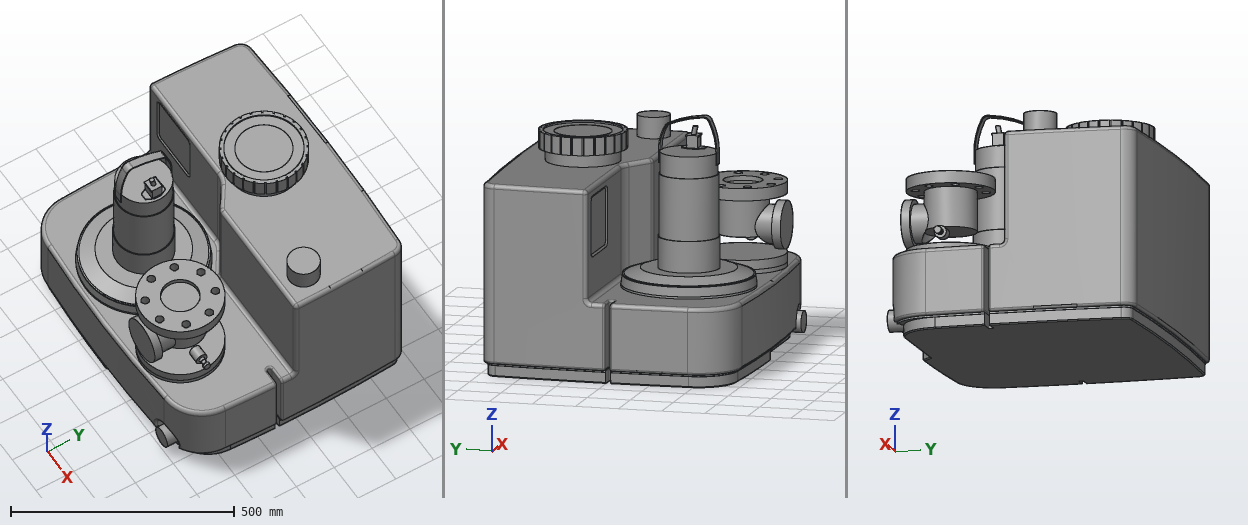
import cadquery as cq
import math


BASE_HEIGHT = 30.0
DECK_Z = 184.0
TOP_Z = 441
EDGE_RADIUS = 10.0
RIM_RADIUS = 5.5
BACK_Y = 299.5
BACK_CORNER_X = 311.0
BACK_CORNER_Y = 260.0
BACK_CORNER_RADIUS = 31.0
FRONT_Y = -299.0
FRONT_CORNER_X = 246.0
FRONT_CORNER_Y = -190.5
FRONT_CORNER_RADIUS = 99.5
SIDE_X = 350
SIDE_WIDEST_Y = 21

LEFT_WALL_Y = 41.0
RIGHT_WALL_Y = -8.5
WALL_BEND_LEFT_X = -42
WALL_BEND_RIGHT_X = 31.0
INNER_BEND_RADIUS = 56
OUTER_BEND_RADIUS = 19.5

LEDGE_Z = 26.0
LEDGE_INSET = 8.5
PLINTH_INSET = 10.0
PLINTH_CHAMFER = 3.0
SETBACK_START_X = -1.0
SETBACK_Y = -266
SETBACK_CORNER_X = 241.0
SETBACK_CORNER_RADIUS = 95.0

SLOT_WIDTH = 11.0
SLOT_LIP_RADIUS = 5.0
LEFT_SLOT_Y = -5.0
LEFT_SLOT_END_X = -310.0
RIGHT_SLOT_Y = -50.0
RIGHT_SLOT_END_X = 307.0
SLOTS = ((LEFT_SLOT_Y, LEFT_SLOT_END_X), (RIGHT_SLOT_Y, RIGHT_SLOT_END_X))

ROOT = 7

COVER_SEAT_Z = 189
FLANGE_SEAT_Z = 194.0

PANEL_SIZE = 140
PANEL_X = -245
PANEL_Z = 350
PANEL_CORNER_RADIUS = 14
PANEL_BORDER = 5.0
PANEL_DEPTH = 3.5

DRAIN_X = 249.0
DRAIN_Z = 40.5
DRAIN_DIAMETER = 50.0
DRAIN_END_Y = -299.0
DRAIN_ARCH_DIAMETER = 75.0
DRAIN_ARCH_LIP_RADIUS = 5.5
VENT_X = 279.0
VENT_Y = 57.5
VENT_DIAMETER = 75.0
VENT_TOP_Z = 490

CAP_X = -20.0
CAP_Y = 140
NECK_DIAMETER = 170.0
CAP_DIAMETER = 200.0
CAP_BOTTOM_Z = 470.5
CAP_TOP_Z = 511
CAP_DISH_DIAMETER = 180.0
CAP_CENTRE_DIAMETER = 130.0
CAP_DISH_DEPTH = 3.5
CAP_CENTRE_DEPTH = 4.0
CAP_GROOVE_COUNT = 24
CAP_GROOVE_SIZE = 3.5

PUMP_X = -100.0
PUMP_Y = -127.5
COVER_DIAMETER = 306.0
COVER_WALL_TOP_DIAMETER = 299.0
COVER_WALL_TOP_Z = 210
COVER_GROOVE_DIAMETER = 291.0
COVER_GROOVE_TOP_Z = 213.0
COVER_FLAT_DIAMETER = 218.5
COVER_TOP_Z = 226.0
MOTOR_FOOT_DIAMETER = 140
MOTOR_FOOT_TOP_Z = 298.0
MOTOR_DIAMETER = 135.0
MOTOR_SHOULDER_Z = TOP_Z
MOTOR_HEAD_DIAMETER = 130.0
MOTOR_TOP_Z = 491.0

HANDLE_WIDTH = 21
HANDLE_THICKNESS = 3.0
HANDLE_END_Z = 465.0
HANDLE_BEND_Z = 491.0
HANDLE_BACK_FLANK = (62.0, 524.0)
HANDLE_BACK_SHOULDER = (50.5, 550.0)
HANDLE_GRIP_MIDDLE = (11.0, 564.0)
HANDLE_PEAK = (-34.0, 572.0)
HANDLE_FRONT_BEND = (-45.0, 569.0)
HANDLE_FRONT_SHOULDER = (-50.5, 561.5)
HANDLE_FRONT_FLANK = (-62.0, 528.0)

GLAND_X = -59.5
GLAND_PLATE_WIDTH = 35
GLAND_PLATE_LENGTH = 53.0
GLAND_PLATE_END = 17.5
GLAND_PLATE_HEIGHT = 2.0
GLAND_BODY_WIDTH = 31.0
GLAND_BODY_LENGTH = 25.0
GLAND_RIM_LENGTH = 29.5
GLAND_RIM_HEIGHT = 3.5
GLAND_BODY_TOP_Z = 521.5
CABLE_DIAMETER = 11.0
CABLE_TOP_Z = 540.5
CABLE_LEAN = 4.0

OUTLET_X = 147
OUTLET_Y = -185.5
FLANGE_DIAMETER = 200.0
LOWER_FLANGE_TOP_Z = 215.5
UPPER_FLANGE_BOTTOM_Z = 351.5
UPPER_FLANGE_TOP_Z = 379.5
BORE_DIAMETER = 89.0
BORE_DEPTH = 10.5
BOLT_COUNT = 8
BOLT_HOLE_DIAMETER = 19.0
BOLT_CIRCLE_DIAMETER = 159.5
TUBE_DIAMETER = 120.0
TUBE_BOTTOM_Z = 260.0
CONE_BASE_DIAMETER = 140
BRANCH_DIAMETER = 89.0
BRANCH_Z = 282.0
BRANCH_CAP_DIAMETER = 110.0
BRANCH_CAP_START_Y = -267.0
BRANCH_END_Y = -287

PLUG_Z = 242.0
PLUG_TIP_X = 203
PLUG_DIAMETER = 28
PLUG_BODY_END_X = 237.0
PLUG_COLLAR_DIAMETER = 14
PLUG_COLLAR_END_X = 244.0
PLUG_STEM_DIAMETER = 11.0
PLUG_HEAD_DIAMETER = 17.0
PLUG_HEAD_X = 255.0
PLUG_END_X = 262.0


def disc(x, y, diameter, bottom, top):
    """Upright cylinder between two heights."""
    return cq.Workplane("XY", origin=(x, y, bottom)).circle(diameter / 2).extrude(top - bottom)


def rod_along_y(x, z, diameter, start_y, end_y):
    """Cylinder from start_y toward -Y, as far as end_y."""
    return cq.Workplane("XZ", origin=(x, start_y, z)).circle(diameter / 2).extrude(start_y - end_y)


def tank_outline(bottom):
    """Tank footprint with bowed front, back and sides and rounded corners."""
    slope = math.sqrt(0.5)
    back_tip = BACK_CORNER_Y + BACK_CORNER_RADIUS
    back_side = BACK_CORNER_X + BACK_CORNER_RADIUS
    front_tip = FRONT_CORNER_Y - FRONT_CORNER_RADIUS
    front_side = FRONT_CORNER_X + FRONT_CORNER_RADIUS
    back_mid_x = BACK_CORNER_X + slope * BACK_CORNER_RADIUS
    back_mid_y = BACK_CORNER_Y + slope * BACK_CORNER_RADIUS
    front_mid_x = FRONT_CORNER_X + slope * FRONT_CORNER_RADIUS
    front_mid_y = FRONT_CORNER_Y - slope * FRONT_CORNER_RADIUS
    return (
        cq.Workplane("XY", origin=(0, 0, bottom))
        .moveTo(-BACK_CORNER_X, back_tip)
        .threePointArc((0, BACK_Y), (BACK_CORNER_X, back_tip))
        .threePointArc((back_mid_x, back_mid_y), (back_side, BACK_CORNER_Y))
        .threePointArc((SIDE_X, SIDE_WIDEST_Y), (front_side, FRONT_CORNER_Y))
        .threePointArc((front_mid_x, front_mid_y), (FRONT_CORNER_X, front_tip))
        .threePointArc((0, FRONT_Y), (-FRONT_CORNER_X, front_tip))
        .threePointArc((-front_mid_x, front_mid_y), (-front_side, FRONT_CORNER_Y))
        .threePointArc((-SIDE_X, SIDE_WIDEST_Y), (-back_side, BACK_CORNER_Y))
        .threePointArc((-back_mid_x, back_mid_y), (-BACK_CORNER_X, back_tip))
        .close()
    )


def rear_block():
    """Tall rear part of the tank, ending at the cranked step wall."""
    reach = 2 * SIDE_X
    region = (
        cq.Workplane("XY", origin=(0, 0, BASE_HEIGHT))
        .polyline([
            (-reach, LEFT_WALL_Y),
            (WALL_BEND_LEFT_X, LEFT_WALL_Y),
            (WALL_BEND_RIGHT_X, RIGHT_WALL_Y),
            (reach, RIGHT_WALL_Y),
            (reach, reach),
            (-reach, reach),
        ])
        .close()
        .extrude(TOP_Z - BASE_HEIGHT)
    )
    bend_left = cq.selectors.NearestToPointSelector((WALL_BEND_LEFT_X, LEFT_WALL_Y, TOP_Z / 2))
    bend_right = cq.selectors.NearestToPointSelector((WALL_BEND_RIGHT_X, RIGHT_WALL_Y, TOP_Z / 2))
    region = region.edges("|Z").edges(bend_left).fillet(INNER_BEND_RADIUS)
    region = region.edges("|Z").edges(bend_right).fillet(OUTER_BEND_RADIUS)
    return tank_outline(BASE_HEIGHT).extrude(TOP_Z - BASE_HEIGHT).intersect(region)


def tank_shell():
    """Deck and rear block with rounded edges."""
    lower = tank_outline(BASE_HEIGHT).extrude(DECK_Z - BASE_HEIGHT)
    shell = lower.union(rear_block())
    shell = shell.faces("<Z").edges().fillet(RIM_RADIUS)
    reach = 2 * SIDE_X
    above = cq.selectors.BoxSelector((-reach, -reach, DECK_Z - EDGE_RADIUS), (reach, reach, 2 * TOP_Z))
    return shell.edges(above).fillet(EDGE_RADIUS)


def setback_outline():
    """Plan of the space under the rim at the front right."""
    front = FRONT_Y + PLINTH_INSET
    corner_x = SETBACK_CORNER_X + SETBACK_CORNER_RADIUS
    corner_y = SETBACK_Y + SETBACK_CORNER_RADIUS
    slope = math.sqrt(0.5) * SETBACK_CORNER_RADIUS
    return (
        cq.Workplane("XY")
        .moveTo(SETBACK_START_X, FRONT_Y)
        .lineTo(SETBACK_START_X, front)
        .lineTo(SETBACK_START_X + SETBACK_Y - front, SETBACK_Y)
        .lineTo(SETBACK_CORNER_X, SETBACK_Y)
        .threePointArc((SETBACK_CORNER_X + slope, corner_y - slope), (corner_x, corner_y))
        .lineTo(SIDE_X, corner_y)
        .lineTo(SIDE_X, FRONT_Y)
        .close()
    )


def plinth():
    """Foot of the tank, set back under the drain, with a ledge under the rim."""
    foot = tank_outline(0).offset2D(-PLINTH_INSET).extrude(BASE_HEIGHT)
    foot = foot.faces("<Z").edges().chamfer(PLINTH_CHAMFER)
    setback_chamfer = setback_outline().offset2D(PLINTH_CHAMFER).extrude(PLINTH_CHAMFER, taper=45)
    foot = foot.cut(setback_outline().extrude(BASE_HEIGHT)).cut(setback_chamfer)
    ledge = tank_outline(LEDGE_Z).offset2D(-LEDGE_INSET).extrude(BASE_HEIGHT - LEDGE_Z)
    return foot.union(ledge)


def side_slot(slot_y, end_x):
    """Full-height slot with a round inner end, running out through the nearer side wall."""
    outer_x = math.copysign(2 * SIDE_X, end_x) - end_x
    channel = cq.Workplane("XY", origin=((end_x + outer_x) / 2, slot_y, 0)).box(
        abs(outer_x - end_x), SLOT_WIDTH, TOP_Z, centered=(True, True, False)
    )
    return channel.union(disc(end_x, slot_y, SLOT_WIDTH, 0, TOP_Z))


def label_panel():
    """Shallow square recess with sloping borders."""
    taper = math.degrees(math.atan(PANEL_BORDER / PANEL_DEPTH))
    return (
        cq.Workplane("XZ", origin=(PANEL_X, LEFT_WALL_Y, PANEL_Z))
        .sketch()
        .rect(PANEL_SIZE, PANEL_SIZE)
        .vertices()
        .fillet(PANEL_CORNER_RADIUS)
        .finalize()
        .extrude(-PANEL_DEPTH, taper=taper)
    )


def drain_opening():
    """Cylindrical space around the drain stub."""
    return rod_along_y(DRAIN_X, DRAIN_Z, DRAIN_ARCH_DIAMETER, SETBACK_Y, DRAIN_END_Y)


def arched_envelope():
    """Square-edged tank prism with the drain arch cut into its front and the arch edge rounded."""
    crown = cq.selectors.NearestToPointSelector((DRAIN_X, FRONT_Y, DRAIN_Z + DRAIN_ARCH_DIAMETER / 2))
    prism = tank_outline(BASE_HEIGHT).extrude(TOP_Z - BASE_HEIGHT)
    return prism.cut(drain_opening()).edges(crown).fillet(DRAIN_ARCH_LIP_RADIUS)


def cut_side_slot(body, slot_y, end_x):
    """Cut one side slot through the tank and round its edge on the deck and side."""
    inner_x = end_x - math.copysign(SLOT_WIDTH / 2, end_x)
    slot_end = cq.selectors.NearestToPointSelector((inner_x, slot_y, DECK_Z))
    return body.cut(side_slot(slot_y, end_x)).edges(slot_end).fillet(SLOT_LIP_RADIUS)


def make_tank():
    """One moulding: shell, plinth, seats, drain and vent stubs and filler neck."""
    body = tank_shell()
    foot = plinth().cut(drain_opening())
    for slot_y, end_x in SLOTS:
        body = cut_side_slot(body, slot_y, end_x)
        foot = foot.cut(side_slot(slot_y, end_x))
    body = body.intersect(arched_envelope()).union(foot)
    body = body.cut(label_panel())
    body = body.union(disc(PUMP_X, PUMP_Y, COVER_DIAMETER, DECK_Z - ROOT, COVER_SEAT_Z))
    body = body.union(disc(OUTLET_X, OUTLET_Y, FLANGE_DIAMETER, DECK_Z - ROOT, FLANGE_SEAT_Z))
    body = body.union(rod_along_y(DRAIN_X, DRAIN_Z, DRAIN_DIAMETER, SETBACK_Y + ROOT, DRAIN_END_Y))
    body = body.union(disc(VENT_X, VENT_Y, VENT_DIAMETER, TOP_Z - ROOT, VENT_TOP_Z))
    return body.union(disc(CAP_X, CAP_Y, NECK_DIAMETER, TOP_Z - ROOT, CAP_BOTTOM_Z))


def make_cap():
    """Screw cap with a grooved rim and a shallow dished top."""
    cap = disc(CAP_X, CAP_Y, CAP_DIAMETER, CAP_BOTTOM_Z, CAP_TOP_Z)
    dish = disc(CAP_X, CAP_Y, CAP_DISH_DIAMETER, CAP_TOP_Z - CAP_DISH_DEPTH, CAP_TOP_Z)
    cap = cap.cut(dish)
    grooves = (
        cq.Workplane("XY", origin=(CAP_X, CAP_Y, CAP_BOTTOM_Z))
        .polarArray(CAP_DIAMETER / 2, 0, 360, CAP_GROOVE_COUNT)
        .rect(2 * CAP_GROOVE_SIZE, CAP_GROOVE_SIZE)
        .extrude(CAP_TOP_Z - CAP_BOTTOM_Z)
    )
    centre = disc(CAP_X, CAP_Y, CAP_CENTRE_DIAMETER, CAP_TOP_Z - CAP_CENTRE_DEPTH, CAP_TOP_Z)
    return cap.cut(centre).cut(grooves)


def make_cover():
    """Conical pump cover with a clamping groove below the cone."""
    profile = [
        (0, COVER_SEAT_Z),
        (COVER_DIAMETER / 2, COVER_SEAT_Z),
        (COVER_WALL_TOP_DIAMETER / 2, COVER_WALL_TOP_Z),
        (COVER_GROOVE_DIAMETER / 2, COVER_WALL_TOP_Z),
        (COVER_GROOVE_DIAMETER / 2, COVER_GROOVE_TOP_Z),
        (COVER_WALL_TOP_DIAMETER / 2, COVER_GROOVE_TOP_Z),
        (COVER_FLAT_DIAMETER / 2, COVER_TOP_Z),
        (0, COVER_TOP_Z),
    ]
    cover = cq.Workplane("XZ").polyline(profile).close().revolve(360, (0, 0), (0, 1))
    return cover.translate((PUMP_X, PUMP_Y, 0))


def make_motor():
    """Stepped motor housing standing on the cover."""
    foot = disc(PUMP_X, PUMP_Y, MOTOR_FOOT_DIAMETER, COVER_TOP_Z, MOTOR_FOOT_TOP_Z)
    barrel = disc(PUMP_X, PUMP_Y, MOTOR_DIAMETER, MOTOR_FOOT_TOP_Z, MOTOR_SHOULDER_Z)
    head = disc(PUMP_X, PUMP_Y, MOTOR_HEAD_DIAMETER, MOTOR_SHOULDER_Z, MOTOR_TOP_Z)
    return foot.union(barrel).union(head)


def make_handle():
    """Bent strip whose ends lie against the front and back of the motor head."""
    leg = (MOTOR_HEAD_DIAMETER + HANDLE_THICKNESS) / 2
    path = (
        cq.Workplane("YZ", origin=(PUMP_X, PUMP_Y, 0))
        .moveTo(leg, HANDLE_END_Z)
        .lineTo(leg, HANDLE_BEND_Z)
        .threePointArc(HANDLE_BACK_FLANK, HANDLE_BACK_SHOULDER)
        .threePointArc(HANDLE_GRIP_MIDDLE, HANDLE_PEAK)
        .threePointArc(HANDLE_FRONT_BEND, HANDLE_FRONT_SHOULDER)
        .threePointArc(HANDLE_FRONT_FLANK, (-leg, HANDLE_BEND_Z))
        .lineTo(-leg, HANDLE_END_Z)
    )
    strip = path.offset2D(HANDLE_THICKNESS / 2, "intersection")
    return strip.extrude(HANDLE_WIDTH / 2, both=True)


def make_gland():
    """Cable gland: eight-sided plate, block body and a wider rim on top."""
    half_width = GLAND_PLATE_WIDTH / 2
    half_length = GLAND_PLATE_LENGTH / 2
    half_end = GLAND_PLATE_END / 2
    plate = (
        cq.Workplane("XY", origin=(GLAND_X, PUMP_Y, MOTOR_TOP_Z))
        .polyline([
            (-half_end, half_length),
            (half_end, half_length),
            (half_width, half_end),
            (half_width, -half_end),
            (half_end, -half_length),
            (-half_end, -half_length),
            (-half_width, -half_end),
            (-half_width, half_end),
        ])
        .close()
        .extrude(GLAND_PLATE_HEIGHT)
    )
    body = cq.Workplane("XY", origin=(GLAND_X, PUMP_Y, MOTOR_TOP_Z)).box(
        GLAND_BODY_WIDTH, GLAND_BODY_LENGTH, GLAND_BODY_TOP_Z - MOTOR_TOP_Z, centered=(True, True, False)
    )
    rim = cq.Workplane("XY", origin=(GLAND_X, PUMP_Y, GLAND_BODY_TOP_Z - GLAND_RIM_HEIGHT)).box(
        GLAND_BODY_WIDTH, GLAND_RIM_LENGTH, GLAND_RIM_HEIGHT, centered=(True, True, False)
    )
    return plate.union(body).union(rim)


def make_cable():
    """Short cable end leaving the gland, leaning forward."""
    return (
        cq.Workplane("XY", origin=(GLAND_X, PUMP_Y, GLAND_BODY_TOP_Z))
        .circle(CABLE_DIAMETER / 2)
        .workplane(offset=CABLE_TOP_Z - GLAND_BODY_TOP_Z)
        .center(0, -CABLE_LEAN)
        .circle(CABLE_DIAMETER / 2)
        .loft()
    )


def make_lower_flange():
    """Plain flange on its seat on the deck."""
    return disc(OUTLET_X, OUTLET_Y, FLANGE_DIAMETER, FLANGE_SEAT_Z, LOWER_FLANGE_TOP_Z)


def outlet_clearance():
    """Space of the tube and of the open cone between the tube and the lower flange."""
    cone = (
        cq.Workplane("XY", origin=(OUTLET_X, OUTLET_Y, LOWER_FLANGE_TOP_Z))
        .circle(CONE_BASE_DIAMETER / 2)
        .workplane(offset=TUBE_BOTTOM_Z - LOWER_FLANGE_TOP_Z)
        .circle(TUBE_DIAMETER / 2)
        .loft()
    )
    return cone.union(disc(OUTLET_X, OUTLET_Y, TUBE_DIAMETER, TUBE_BOTTOM_Z, UPPER_FLANGE_BOTTOM_Z))


def make_outlet():
    """Drilled flange on a tube with a capped branch to the front."""
    flange = disc(OUTLET_X, OUTLET_Y, FLANGE_DIAMETER, UPPER_FLANGE_BOTTOM_Z, UPPER_FLANGE_TOP_Z)
    holes = (
        cq.Workplane("XY", origin=(OUTLET_X, OUTLET_Y, UPPER_FLANGE_BOTTOM_Z))
        .polarArray(BOLT_CIRCLE_DIAMETER / 2, 180 / BOLT_COUNT, 360, BOLT_COUNT)
        .circle(BOLT_HOLE_DIAMETER / 2)
        .extrude(UPPER_FLANGE_TOP_Z - UPPER_FLANGE_BOTTOM_Z)
    )
    bore = disc(OUTLET_X, OUTLET_Y, BORE_DIAMETER, UPPER_FLANGE_TOP_Z - BORE_DEPTH, UPPER_FLANGE_TOP_Z)
    tube = disc(OUTLET_X, OUTLET_Y, TUBE_DIAMETER, TUBE_BOTTOM_Z, UPPER_FLANGE_BOTTOM_Z)
    branch = rod_along_y(OUTLET_X, BRANCH_Z, BRANCH_DIAMETER, OUTLET_Y, BRANCH_CAP_START_Y)
    branch = branch.cut(outlet_clearance())
    branch_cap = rod_along_y(OUTLET_X, BRANCH_Z, BRANCH_CAP_DIAMETER, BRANCH_CAP_START_Y, BRANCH_END_Y)
    return flange.cut(holes).cut(bore).union(tube).union(branch).union(branch_cap)


def make_plug():
    """Turned vent plug whose inner end follows the cone below the outlet tube."""
    profile = [
        (PLUG_TIP_X, 0),
        (PLUG_TIP_X, PLUG_DIAMETER / 2),
        (PLUG_BODY_END_X, PLUG_DIAMETER / 2),
        (PLUG_BODY_END_X, PLUG_COLLAR_DIAMETER / 2),
        (PLUG_COLLAR_END_X, PLUG_COLLAR_DIAMETER / 2),
        (PLUG_COLLAR_END_X, PLUG_STEM_DIAMETER / 2),
        (PLUG_HEAD_X, PLUG_STEM_DIAMETER / 2),
        (PLUG_HEAD_X, PLUG_HEAD_DIAMETER / 2),
        (PLUG_END_X, PLUG_HEAD_DIAMETER / 2),
        (PLUG_END_X, 0),
    ]
    plug = cq.Workplane("XZ").polyline(profile).close().revolve(360, (0, 0), (1, 0))
    plug = plug.translate((0, OUTLET_Y, PLUG_Z))
    return plug.cut(outlet_clearance())


tank = make_tank()
cap = make_cap()
cover = make_cover()
motor = make_motor()
handle = make_handle()
gland = make_gland()
cable = make_cable()
lower_flange = make_lower_flange()
outlet = make_outlet()
plug = make_plug()

bodies = [tank, cap, cover, motor, handle, gland, cable, lower_flange, outlet, plug]
result = cq.Compound.makeCompound([body.solids().val() for body in bodies])